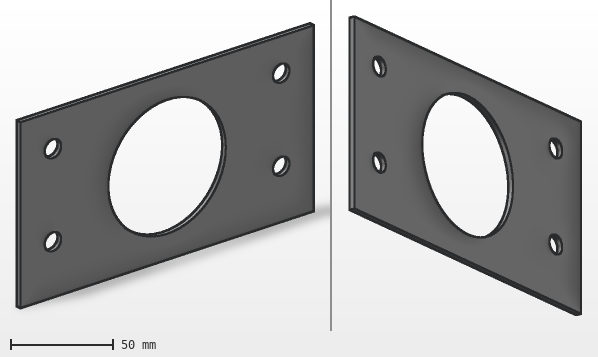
import cadquery as cq

thickness = 3.0
length = 180.0
height = 100.0

opening_diameter = 72.0

hole_diameter = 10.0
hole_spacing_y = 140.0
hole_spacing_z = 50.0
top_edge_to_hole = 20.0
pattern_center_z = height / 2 - top_edge_to_hole - hole_spacing_z / 2


def make_plate():
    return cq.Workplane("XY").box(thickness, length, height)


def through_cutter(diameter, y, z):
    """Cylinder along X that passes through the full plate thickness."""
    return (
        cq.Workplane("YZ")
        .center(y, z)
        .circle(diameter / 2)
        .extrude(thickness, both=True)
    )


result = make_plate().cut(through_cutter(opening_diameter, 0, 0))
for side_y in (-1, 1):
    for side_z in (-1, 1):
        hole_y = side_y * hole_spacing_y / 2
        hole_z = pattern_center_z + side_z * hole_spacing_z / 2
        result = result.cut(through_cutter(hole_diameter, hole_y, hole_z))